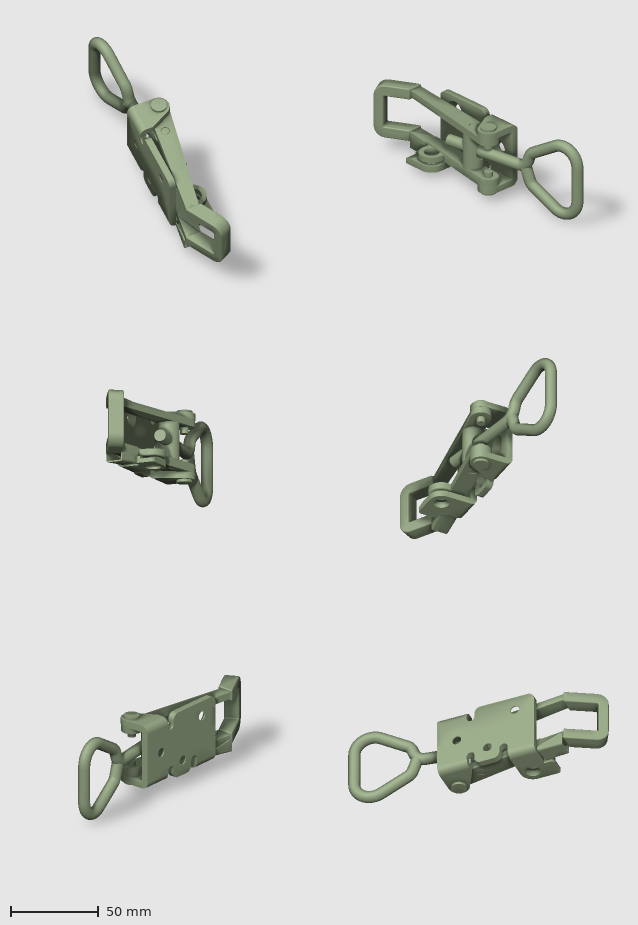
import cadquery as cq
import math

mid_z = -0.6
sheet = 3.9
bend_inner = 0.3
bend_outer = sheet + bend_inner
pivot_y = 17.0

base_left = -6.2
base_right = 53.8
ear_radius = 6.2
ear_right = 12.2
ear_shoulder_y = 7.8
ear_half = 19.3
panel_half = 20.0
panel_corner = 3.9
relief_width = 4.7
relief_half = 11.4
lobe_right = 32.5
lug_left = 37.4
lug_outer = 20.7
screw_radius = 2.73
screw_head_radius = 6.0
screw_places = [(6.0, 0.0), (42.0, 10.9), (25.0, -10.9)]

eye_radius = 7.5
eye_hole_radius = 4.5
eye_x = lug_left + eye_radius
eye_y = 19.0
eye_root_fillet = 1.1

stop_right = 59.5
stop_bottom = 14.8
stop_corner = 2.2
ramp_start = 54.2
ramp_bottom = 18.0
ramp_drop = 1.5

lever_outer = ear_half - sheet
arm_thickness = 4.2
lever_inner = lever_outer - arm_thickness
lever_radius = 6.1
top_slope = 9.9
bottom_slope = 6.4

mouth_x = 70.8
mouth_y = 1.9
grip_angle = 29.0
grip_length = 26.5
grip_depth = 8.9
grip_half = 16.7
grip_inner = 9.8
grip_bar = 6.0
grip_corner = 6.9
grip_edge = 0.8
grip_wall = 1.2

trunnion_x = 14.8
trunnion_y = 14.5
trunnion_radius = 6.1
journal_radius = 2.6
journal_chamfer = 0.5
countersink_radius = 5.5
wire_radius = 3.5
draw_tilt = 9.0
rod_tail = 17.6
loop_reach = 74.5
bar_half = 10.8
loop_width = 49.4
corner_radius = loop_width / 2 - wire_radius - bar_half
shoulder_angle = 30.0
shoulder_length = 18.0
neck_angle = 70.0
neck_radius = 6.9

rivet_head_radius = 4.5
rivet_head_height = 1.5
rivet_radius = 2.5
rivet_tip = 7.6

leaf = 0.8
leaf_radius = 5.8
leaf_cut_x = 55.5
thumb_left = 54.4
strap_left = 55.5
thumb_right = 70.5
thumb_gap = 0.3
thumb_bottom_gap = 0.6
thumb_wall = 0.8
thumb_round = 1.2
thumb_z_left = -20.4
thumb_z_right = -21.8
flange_z_left = -17.6
flange_peak_x = 68.9
flange_z_peak = -13.7
flange_z_right = -14.5

clear = 62.4


def prism(points, z_low, z_high):
    """Polygon in XY, extruded from z_low to z_high."""
    return cq.Workplane("XY", origin=(0, 0, z_low)).polyline(points).close().extrude(z_high - z_low)


def side_prism(points, y_low, y_high):
    """Polygon in XZ, extruded from y_low to y_high."""
    return cq.Workplane("XZ", origin=(0, y_low, 0)).polyline(points).close().extrude(y_low - y_high)


def rod_z(x, y, radius, z_low, z_high):
    return cq.Workplane("XY", origin=(x, y, z_low)).circle(radius).extrude(z_high - z_low)


def block(x_low, x_high, y_low, y_high, z_low, z_high):
    size = (x_high - x_low, y_high - y_low, z_high - z_low)
    return cq.Workplane("XY").box(*size, centered=False).translate((x_low, y_low, z_low))


def arm_top(x, radius=lever_radius):
    slope = math.radians(top_slope)
    return pivot_y + radius / math.cos(slope) - x * math.tan(slope)


def arm_bottom(x, radius=lever_radius):
    slope = math.radians(bottom_slope)
    return pivot_y - radius / math.cos(slope) - x * math.tan(slope)


def arm_outline(z, radius, end_points):
    """Tapered arm with a round pivot end; end_points run from the top edge to the bottom edge."""
    top = math.radians(top_slope)
    bottom = math.radians(bottom_slope)
    top_start = (radius * math.sin(top), pivot_y + radius * math.cos(top))
    bottom_start = (-radius * math.sin(bottom), pivot_y - radius * math.cos(bottom))
    return (
        cq.Workplane("XY", origin=(0, 0, z))
        .moveTo(*top_start)
        .polyline(end_points + [bottom_start], includeCurrent=True)
        .threePointArc((-radius, pivot_y), top_start)
        .close()
    )


def eye_plate(root_y, z_low, z_high):
    """Upright with a round head, without its hole."""
    post = block(eye_x - eye_radius, eye_x + eye_radius, root_y, eye_y, z_low, z_high)
    return post.union(rod_z(eye_x, eye_y, eye_radius, z_low, z_high))


def bent_flange(x_low, x_high, outer, side):
    """Sheet bent up from the panel: side +1 towards +Z, -1 towards -Z."""
    height = eye_y + eye_radius
    body = block(x_low, x_high, 0, height, 0, outer).edges("|X and <Y and >Z").fillet(bend_outer)
    hollow = block(x_low, x_high, sheet, height, 0, outer - sheet)
    hollow = hollow.edges("|X and <Y and >Z").fillet(bend_inner)
    flange = body.cut(hollow)
    if side < 0:
        flange = flange.mirror("XY")
    return flange.translate((0, 0, mid_z))


def ear_mask():
    reach = math.hypot(ear_right, pivot_y - ear_shoulder_y)
    direction = math.atan2(ear_shoulder_y - pivot_y, ear_right)
    tangent = direction + math.acos(ear_radius / reach)
    touch = (ear_radius * math.cos(tangent), pivot_y + ear_radius * math.sin(tangent))
    return (
        cq.Workplane("XY", origin=(0, 0, -clear))
        .moveTo(base_left, 0)
        .lineTo(ear_right, 0)
        .lineTo(ear_right, ear_shoulder_y)
        .lineTo(*touch)
        .threePointArc((0, pivot_y + ear_radius), (base_left, pivot_y))
        .close()
        .extrude(2 * clear)
    )


def relief(x_low, width, side):
    """Round-ended slot open to one long edge of the panel."""
    radius = width / 2
    x_mid = x_low + radius
    end_z = mid_z + side * (relief_half + radius)
    slot = cq.Workplane("XZ").center(x_mid, end_z).circle(radius).extrude(-sheet)
    outer_z = mid_z + side * lug_outer
    return slot.union(block(x_low, x_low + width, 0, sheet, min(end_z, outer_z), max(end_z, outer_z)))


def panel():
    """Flat wall to the right of the ears, with its rounded lobes."""
    lobe_left = ear_right + relief_width
    upper = block(lobe_left, base_right, 0, sheet, mid_z, mid_z + panel_half)
    upper = upper.edges("|Y and >Z").fillet(panel_corner)
    lower = block(lobe_left, lobe_right, 0, sheet, mid_z - panel_half, mid_z)
    lower = lower.edges("|Y and <Z").fillet(panel_corner)
    bridge_low = mid_z - lever_outer
    bridge_high = mid_z + lever_outer
    bridge = block(ear_right, lobe_left, 0, sheet, bridge_low, bridge_high)
    bridge = bridge.union(block(lobe_right, lug_left, 0, sheet, bridge_low, mid_z))
    return upper.union(lower).union(bridge)


def base_lug():
    """Padlock eye with the catch stop, bent up from the lower edge of the panel."""
    low = mid_z - lug_outer
    high = low + sheet
    top = eye_y + eye_radius
    mask = eye_plate(0, -clear, 0).union(block(eye_x, base_right, 0, eye_y, -clear, 0))
    lug = bent_flange(lug_left, base_right, lug_outer, -1).intersect(mask)
    stop = block(eye_x, stop_right, stop_bottom, top, low, high).edges("|Z and >X").fillet(stop_corner)
    ramp_points = [(ramp_start, high), (stop_right, high), (stop_right, high - ramp_drop)]
    stop = stop.cut(side_prism(ramp_points, ramp_bottom, top))
    return lug.union(stop).cut(rod_z(eye_x, eye_y, eye_hole_radius, -clear, 0))


def screw_hole(x, z):
    hole = cq.Workplane("XZ").center(x, z).circle(screw_radius).extrude(-sheet)
    inner_face = cq.Vector(x, sheet, z)
    sink = cq.Solid.makeCone(screw_head_radius, 0, screw_head_radius, inner_face, cq.Vector(0, -1, 0))
    return hole.union(cq.Workplane(sink))


def make_base():
    ears = bent_flange(base_left, ear_right, ear_half, 1)
    ears = ears.union(bent_flange(base_left, ear_right, ear_half, -1)).intersect(ear_mask())
    base = ears.union(panel()).union(base_lug())
    for side in (1, -1):
        base = base.cut(relief(ear_right, relief_width, side))
    base = base.cut(relief(lobe_right, lug_left - lobe_right, -1))
    base = base.cut(rod_z(0, pivot_y, rivet_radius, -clear, clear))
    for x, offset in screw_places:
        base = base.cut(screw_hole(x, mid_z + offset))
    return base


grip_turn = math.radians(grip_angle)
across_grip = cq.selectors.ParallelDirSelector(cq.Vector(-math.sin(grip_turn), math.cos(grip_turn), 0))


def grip_point(along, across):
    """Point in XY, given along the grip and across its depth."""
    x = mouth_x + along * math.cos(grip_turn) - across * math.sin(grip_turn)
    y = mouth_y + along * math.sin(grip_turn) + across * math.cos(grip_turn)
    return (x, y)


def window(half, end):
    """Opening between the two arms, closed by a cross bar that starts at `end` along the grip."""
    points = [
        (-clear, clear),
        grip_point(end, clear),
        grip_point(end, -clear),
        (-clear, -clear),
    ]
    return prism(points, mid_z - half, mid_z + half)


def make_lever():
    core_end = grip_length - grip_wall
    core_top = grip_depth - grip_wall
    end_points = [
        (mouth_x, arm_top(mouth_x)),
        grip_point(core_top * math.tan(grip_turn), core_top),
        grip_point(core_end, core_top),
        grip_point(core_end, grip_wall),
        grip_point(grip_wall, grip_wall),
        (mouth_x, arm_bottom(mouth_x)),
    ]
    low = mid_z - lever_outer
    lever = arm_outline(low, lever_radius, end_points).extrude(2 * lever_outer)
    lever = lever.edges(across_grip).edges(">X").fillet(grip_corner - grip_wall)
    arm_middle = (arm_top(eye_x) + arm_bottom(eye_x)) / 2
    lever = lever.union(eye_plate(arm_middle, low, low + arm_thickness))
    corner = (eye_x - eye_radius, arm_top(eye_x - eye_radius), low)
    lever = lever.edges(cq.selectors.NearestToPointSelector(corner)).fillet(eye_root_fillet)
    lever = lever.cut(window(lever_inner, core_end - arm_thickness))
    lever = lever.cut(rod_z(eye_x, eye_y, eye_hole_radius, -clear, low + arm_thickness))
    lever = lever.cut(rod_z(0, pivot_y, rivet_radius, -clear, clear))
    return lever.cut(rod_z(trunnion_x, trunnion_y, journal_radius, -clear, clear))


def make_grip(lever):
    mouth_top = grip_point(grip_depth * math.tan(grip_turn), grip_depth)
    points = [
        mouth_top,
        grip_point(grip_length, grip_depth),
        grip_point(grip_length, 0),
        grip_point(0, 0),
    ]
    grip = prism(points, mid_z - grip_half, mid_z + grip_half)
    grip = grip.edges(across_grip).fillet(grip_corner)
    grip = grip.cut(window(grip_inner, grip_length - grip_bar))
    return grip.edges().fillet(grip_edge).cut(lever)


tilt = math.radians(draw_tilt)
draw_plane = cq.Plane(
    origin=(trunnion_x, trunnion_y, 0),
    xDir=(math.cos(tilt), math.sin(tilt), 0),
    normal=(math.sin(tilt), -math.cos(tilt), 0),
)


def on_rod(distance):
    """Workplane square to the draw rod, at a distance from the trunnion axis."""
    origin = draw_plane.toWorldCoords((distance, 0, 0))
    return cq.Workplane(cq.Plane(origin=origin, xDir=(0, 0, 1), normal=draw_plane.xDir))


def make_trunnion():
    low = mid_z - lever_inner + leaf
    high = mid_z + lever_inner
    body = rod_z(trunnion_x, trunnion_y, trunnion_radius, low, high)
    journal = rod_z(trunnion_x, trunnion_y, journal_radius, mid_z - lever_outer, mid_z + lever_outer)
    body = body.union(journal.faces("<Z or >Z").chamfer(journal_chamfer))
    body = body.cut(on_rod(-trunnion_radius).circle(wire_radius).extrude(2 * trunnion_radius))
    sink_base = 2 * trunnion_radius
    sink_radius = countersink_radius + sink_base - trunnion_radius
    start = draw_plane.toWorldCoords((-sink_base, 0, 0))
    return body.cut(cq.Solid.makeCone(sink_radius, 0, sink_radius, start, draw_plane.xDir))


def arc_point(center, radius, angle, side):
    """Point along the rod and across it; the angle is measured from across towards along."""
    return (center[0] + radius * math.sin(angle), side * (center[1] + radius * math.cos(angle)))


def wire_branch(side, has_rod):
    """Half of the loop, from the middle of the far bar; the rod branch runs on into the rod."""
    shoulder = math.radians(shoulder_angle)
    neck = math.radians(neck_angle)
    bar = -loop_reach
    bar_turn = math.radians(-90)
    corner = (bar + corner_radius, bar_half)
    run = shoulder_length * math.cos(shoulder)
    drop = shoulder_length * math.sin(shoulder)
    neck_offset = corner_radius - neck_radius
    bend = (
        corner[0] + run + neck_offset * math.sin(shoulder),
        corner[1] - drop + neck_offset * math.cos(shoulder),
    )
    bend_end = arc_point(bend, neck_radius, neck, 1)
    joint_z = neck_radius * (1 - math.cos(neck)) if has_rod else 0
    joint_x = bend_end[0] + (bend_end[1] - joint_z) / math.tan(neck)
    path = (
        cq.Workplane(draw_plane)
        .moveTo(bar, 0)
        .lineTo(bar, side * bar_half)
        .threePointArc(
            arc_point(corner, corner_radius, (bar_turn + shoulder) / 2, side),
            arc_point(corner, corner_radius, shoulder, side),
        )
        .lineTo(*arc_point(bend, neck_radius, shoulder, side))
        .threePointArc(
            arc_point(bend, neck_radius, (shoulder + neck) / 2, side),
            arc_point(bend, neck_radius, neck, side),
        )
        .lineTo(joint_x, side * joint_z)
    )
    if has_rod:
        rod_start = joint_x + neck_radius * math.sin(neck)
        turn = (rod_start, neck_radius)
        half_turn = arc_point(turn, -neck_radius, neck / 2, side)
        path = path.threePointArc(half_turn, (rod_start, 0)).lineTo(rod_tail, 0)
    start = draw_plane.toWorldCoords((bar, 0, 0))
    profile = cq.Workplane(cq.Plane(origin=start, xDir=draw_plane.xDir, normal=(0, 0, side)))
    return profile.circle(wire_radius).sweep(path)


def make_draw_loop():
    return wire_branch(1, True).union(wire_branch(-1, False))


def make_rivet(side):
    shank = rod_z(0, pivot_y, rivet_radius, rivet_tip, ear_half)
    head = rod_z(0, pivot_y, rivet_head_radius, ear_half, ear_half + rivet_head_height)
    rivet = shank.union(head)
    if side < 0:
        rivet = rivet.mirror("XY")
    return rivet.translate((0, 0, mid_z))


def thumb_shell(wall, z_inner):
    """Thumb envelope shrunk by `wall` at its top, bottom and outer faces, and open at its left."""
    top_gap = thumb_gap + thumb_wall - wall
    bottom_gap = thumb_bottom_gap + thumb_wall - wall
    outline = prism(
        [
            (thumb_left - wall, arm_bottom(thumb_left) - bottom_gap),
            (thumb_right, arm_bottom(thumb_right) - bottom_gap),
            (thumb_right, arm_top(thumb_right) + top_gap),
            (strap_left - wall, arm_top(strap_left) + top_gap),
        ],
        -clear,
        clear,
    )
    flare = side_prism(
        [
            (thumb_left - wall, z_inner),
            (thumb_right, z_inner),
            (thumb_right, thumb_z_right + wall),
            (thumb_left - wall, thumb_z_left + wall),
        ],
        -clear,
        clear,
    )
    return outline.intersect(flare)


def make_catch():
    leaf_low = mid_z - lever_inner
    leaf_high = leaf_low + leaf
    leaf_ends = [(strap_left, arm_top(strap_left, leaf_radius)),
                 (strap_left, arm_top(strap_left) + thumb_gap),
                 (thumb_right, arm_top(thumb_right) + thumb_gap),
                 (leaf_cut_x, arm_bottom(leaf_cut_x, leaf_radius))]
    catch = arm_outline(leaf_low, leaf_radius, leaf_ends).extrude(leaf)
    thumb = thumb_shell(0, leaf_high).faces("<Z").edges(">Y or <Y").fillet(thumb_round)
    thumb = thumb.cut(thumb_shell(thumb_wall, leaf_high))
    flange_trim = side_prism(
        [
            (thumb_left, flange_z_left),
            (flange_peak_x, flange_z_peak),
            (thumb_right, flange_z_right),
            (thumb_right, leaf_high),
            (thumb_left, leaf_high),
        ],
        -clear,
        arm_bottom(thumb_left) - thumb_gap,
    )
    catch = catch.union(thumb.cut(flange_trim))
    catch = catch.cut(rod_z(0, pivot_y, rivet_radius, -clear, clear))
    return catch.cut(rod_z(trunnion_x, trunnion_y, journal_radius, -clear, clear))


base = make_base()
lever = make_lever()
grip = make_grip(lever)
trunnion = make_trunnion()
draw_loop = make_draw_loop()
rivets = [make_rivet(side) for side in (1, -1)]
catch = make_catch()

result = cq.Compound.makeCompound(
    [
        base.val(),
        lever.val(),
        grip.val(),
        trunnion.val(),
        draw_loop.val(),
        *[rivet.val() for rivet in rivets],
        catch.val(),
    ]
)